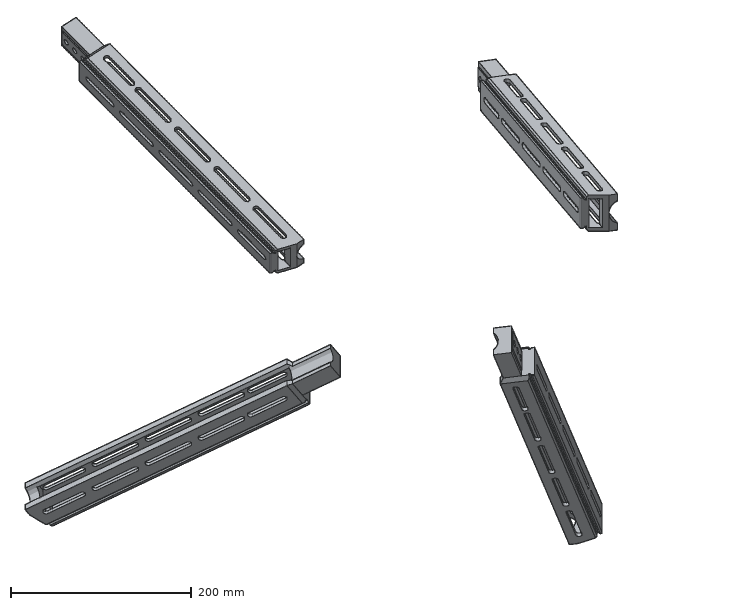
import cadquery as cq


total_length = 400.0
body_depth = 40.0
body_height = 44.0
half_height = body_height / 2

channel_radius = 14.0
channel_depth = 10.0

side_flat_end = 31.5
side_bevel = 2.0
waist_start = side_flat_end + side_bevel
waist_end = 35.0
waist_half_height = 16.0
flange_flank = 2.5
flange_half_height = waist_half_height + flange_flank

tongue_length = 50.0
shoulder_bevel = 4.5
tongue_front_depth = 25.0
tongue_height = body_height - 2 * shoulder_bevel

pad_length = 45.0
pad_height = 23.5
pad_thickness = 1.5
pad_start = (tongue_length - pad_length) / 2
pad_hole_positions = (10.0, 25.0, 40.0)
pad_hole_diameter = 7.0
pad_hole_depth = 6.0

slant_start_depth = 10.0
slant_run = 10.0
nose_radius = 1.5
socket_rear_depth = 17.0
socket_front_depth = 31.0

wall = 4.5
front_wall = 4.0
cavity_height = body_height - 2 * wall
cavity_start_x = tongue_length + wall
cavity_end_x = 387.0
trough_height = pad_height
trough_front_depth = body_depth - front_wall

front_slots = ((62.0, 112.0), (122.0, 182.0), (192.0, 252.0), (262.0, 322.0), (332.0, 382.0))
front_slot_width = 6.5
side_slots = ((64.5, 115.5), (120.5, 180.5), (190.5, 250.5), (260.5, 320.5), (330.5, 385.5))
side_slot_width = 7.0
side_slot_depth = 15.0

cut_margin = 1.0


def box_between(x_range, depth_range, height):
    """Box spanning an X range and a depth range, centred on Z = 0."""
    length = x_range[1] - x_range[0]
    depth = depth_range[1] - depth_range[0]
    corner = (x_range[0], -depth_range[1], -height / 2)
    return cq.Workplane("XY").box(length, depth, height, centered=False).translate(corner)


def make_body_blank():
    """Body section with its dovetail flange, extruded from the shoulder to the far end."""
    upper_half = [
        (0, half_height),
        (-side_flat_end, half_height),
        (-waist_start, half_height - side_bevel),
        (-waist_start, waist_half_height),
        (-waist_end, waist_half_height),
        (-waist_end - flange_flank, flange_half_height),
        (-body_depth, flange_half_height),
    ]
    lower_half = [(y, -z) for y, z in reversed(upper_half)]
    section = cq.Workplane("YZ", origin=(tongue_length, 0, 0)).polyline(upper_half + lower_half)
    return section.close().extrude(total_length - tongue_length)


def make_plan_outline():
    """Body outline in plan: bevelled rear shoulder, slanted end and rounded nose."""
    nose_x = total_length - slant_run
    outline = [
        (tongue_length, -shoulder_bevel),
        (tongue_length + shoulder_bevel, 0),
        (total_length, 0),
        (total_length, -slant_start_depth),
        (nose_x, -body_depth),
        (tongue_length, -body_depth),
    ]
    plan = cq.Workplane("XY").polyline(outline).close().extrude(half_height, both=True)
    nose_edge = cq.selectors.NearestToPointSelector((nose_x, -body_depth, 0))
    return plan.edges(nose_edge).fillet(nose_radius)


def make_side_outline():
    """Body outline seen along Y: the upper and lower shoulder edges are bevelled."""
    bevel_end = tongue_length + shoulder_bevel
    outline = [
        (tongue_length, tongue_height / 2),
        (bevel_end, half_height),
        (total_length, half_height),
        (total_length, -half_height),
        (bevel_end, -half_height),
        (tongue_length, -tongue_height / 2),
    ]
    return cq.Workplane("XZ").polyline(outline).close().extrude(body_depth)


def make_tongue():
    """Tongue with the raised pad on its front face."""
    block = box_between((0, tongue_length), (shoulder_bevel, tongue_front_depth), tongue_height)
    pad_front_depth = tongue_front_depth + pad_thickness
    pad_range = (pad_start, pad_start + pad_length)
    return block.union(box_between(pad_range, (tongue_front_depth, pad_front_depth), pad_height))


def make_pad_holes():
    """Blind holes drilled into the pad from the front."""
    drill_plane = cq.Workplane("XZ", origin=(0, -tongue_front_depth - pad_thickness, 0))
    centers = [(x, 0) for x in pad_hole_positions]
    return drill_plane.pushPoints(centers).circle(pad_hole_diameter / 2).extrude(-pad_hole_depth)


def make_channel():
    """Cylinder that leaves the barrel channel along the whole part."""
    axis = (channel_radius - channel_depth, 0)
    return cq.Workplane("YZ").center(*axis).circle(channel_radius).extrude(total_length)


def make_cavity():
    """Main cavity, the trough in front of it and the socket that opens it through the slanted end."""
    cavity_range = (cavity_start_x, cavity_end_x)
    main = box_between(cavity_range, (wall, socket_front_depth), cavity_height)
    trough = box_between(cavity_range, (socket_front_depth, trough_front_depth), trough_height)
    socket_range = (cavity_end_x, total_length)
    socket = box_between(socket_range, (socket_rear_depth, socket_front_depth), cavity_height)
    return main.union(trough).union(socket)


def make_slots(plane, spans, width, offset):
    """Row of round-ended slots through the body, cut both ways from the given plane."""
    row = cq.Workplane(plane)
    for start, end in spans:
        row = row.moveTo((start + end) / 2, offset).slot2D(end - start, width)
    return row.extrude(body_depth + cut_margin, both=True)


body = make_body_blank().intersect(make_plan_outline()).intersect(make_side_outline())
result = body.union(make_tongue())
result = result.cut(make_pad_holes())
result = result.cut(make_channel())
result = result.cut(make_slots("XZ", front_slots, front_slot_width, 0))
result = result.cut(make_slots("XY", side_slots, side_slot_width, -side_slot_depth))
result = result.cut(make_cavity())